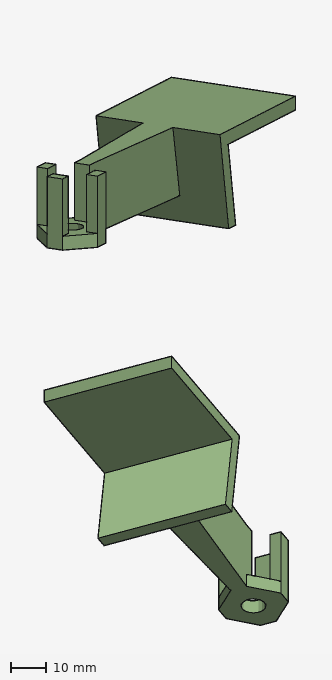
import cadquery as cq
import math

total_length = 105.6
total_height = 29.0

plate_width = 40.0
plate_length = 44.7
plate_thickness = 4.1
wall_angle = math.radians(10)
wall_lean = math.tan(wall_angle)
wall_run = plate_thickness / math.cos(wall_angle)

holder_width = 19.5
holder_thickness = 4.1
hole_diameter = 7.0
post_width = 5.0
post_depth = 3.5
holder_half = holder_width / 2
holder_center_y = holder_half - total_length

arm_height = 21.0
arm_root_width = 10.0
arm_root_inset = 3.9
arm_tip_y = holder_center_y + holder_half


def make_bracket():
    """Flat plate and leaning wall as one extruded side profile in Y and Z."""
    front_y = -plate_length
    wall_foot_y = front_y + total_height * wall_lean
    inner_corner_y = front_y + plate_thickness * wall_lean + wall_run
    side_profile = [
        (0, 0),
        (front_y, 0),
        (wall_foot_y, -total_height),
        (wall_foot_y + wall_run, -total_height),
        (inner_corner_y, -plate_thickness),
        (0, -plate_thickness),
    ]
    return cq.Workplane("YZ").polyline(side_profile).close().extrude(plate_width / 2, both=True)


def make_arm():
    """Arm that narrows toward the holder, with its root cut parallel to the wall."""
    root_y = -plate_length + arm_root_inset
    root_foot_y = root_y + arm_height * wall_lean
    taper = (arm_root_width - post_width) / (root_y - arm_tip_y)
    foot_half_width = (arm_root_width + taper * (root_foot_y - root_y)) / 2
    tip_half_width = post_width / 2
    outline = [
        (-tip_half_width, arm_tip_y),
        (tip_half_width, arm_tip_y),
        (foot_half_width, root_foot_y),
        (-foot_half_width, root_foot_y),
    ]
    side_profile = [
        (arm_tip_y, 0),
        (root_y, 0),
        (root_foot_y, -arm_height),
        (arm_tip_y, -arm_height),
    ]
    tapered_block = cq.Workplane("XY").polyline(outline).close().extrude(-arm_height)
    side_block = cq.Workplane("YZ").polyline(side_profile).close().extrude(arm_root_width, both=True)
    return tapered_block.intersect(side_block)


def make_holder():
    """Octagonal base with a central hole and a post on each short side."""
    corner_cut = (holder_width - post_width) / 2
    holder = (
        cq.Workplane("XY", origin=(0, holder_center_y, -arm_height))
        .rect(holder_width, holder_width)
        .extrude(holder_thickness)
        .edges("|Z")
        .chamfer(corner_cut)
        .faces(">Z")
        .workplane()
        .hole(hole_diameter)
    )
    post = (
        cq.Workplane("XY", origin=(0, holder_center_y, -arm_height))
        .center(holder_half - post_depth / 2, 0)
        .rect(post_depth, post_width)
        .extrude(arm_height)
    )
    axis_start = (0, holder_center_y, 0)
    axis_end = (0, holder_center_y, 1)
    for angle in range(0, 360, 90):
        holder = holder.union(post.rotate(axis_start, axis_end, angle))
    return holder


arm_with_holder = make_arm().union(make_holder())
result = make_bracket().union(arm_with_holder, clean=False)